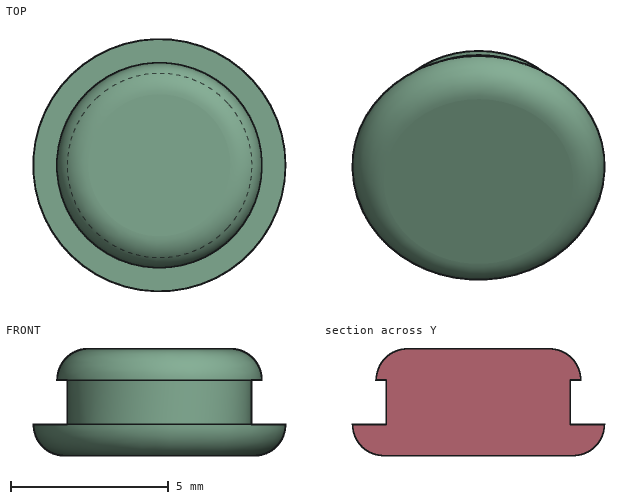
import cadquery as cq
import math

flange_diameter = 8.0
neck_diameter = 5.85
cap_diameter = 6.5
total_height = 3.4
rim_radius = 1.0

flange_radius = flange_diameter / 2
neck_radius = neck_diameter / 2
cap_radius = cap_diameter / 2
flange_top = rim_radius
cap_bottom = total_height - rim_radius
arc_mid = rim_radius * math.sin(math.radians(45))


def plug_profile():
    """Half section in the XZ plane, from the axis out to the rims."""
    flange_flat = flange_radius - rim_radius
    cap_flat = cap_radius - rim_radius
    return (
        cq.Workplane("XZ")
        .moveTo(0, 0)
        .lineTo(flange_flat, 0)
        .threePointArc((flange_flat + arc_mid, flange_top - arc_mid), (flange_radius, flange_top))
        .lineTo(neck_radius, flange_top)
        .lineTo(neck_radius, cap_bottom)
        .lineTo(cap_radius, cap_bottom)
        .threePointArc((cap_flat + arc_mid, cap_bottom + arc_mid), (cap_flat, total_height))
        .lineTo(0, total_height)
        .close()
    )


result = plug_profile().revolve(360, (0, 0, 0), (0, 1, 0))